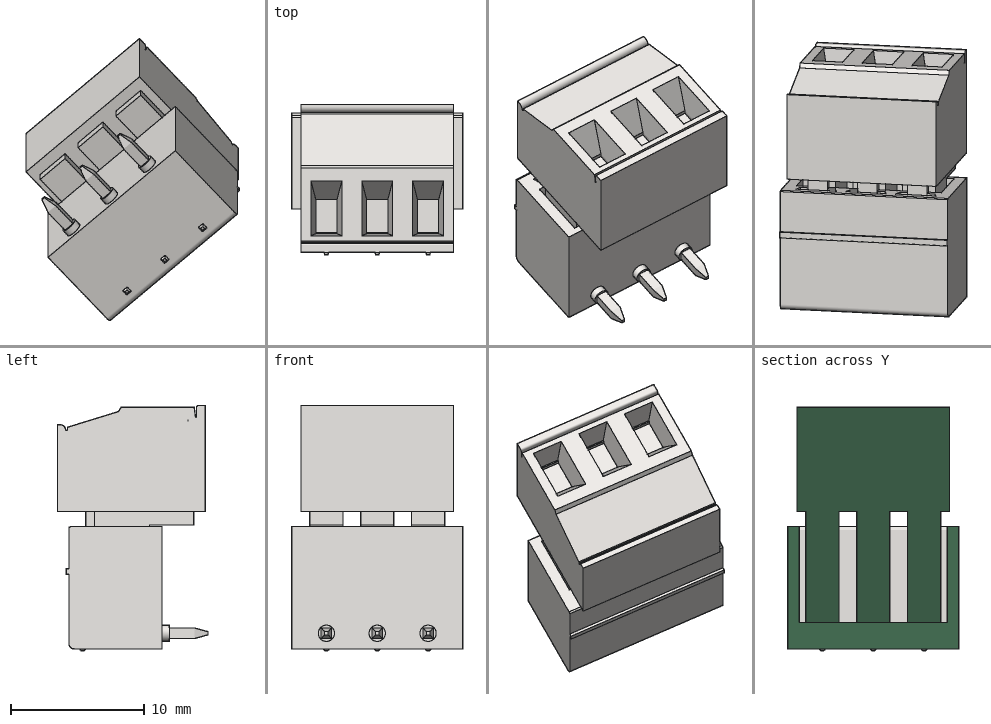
import cadquery as cq
import math


pole_count = 3
pitch = 3.81
pole_xs = [(i - (pole_count - 1) / 2) * pitch for i in range(pole_count)]

arc_middle_inset = 1 - math.sqrt(0.5)

header_width = 12.82
header_depth = 7.0
header_height = 9.18
header_corner_radius = 0.4
header_bevel_depth = 0.14
header_bevel_height = 0.07
rear_rib_proud = 0.21
rear_rib_bottom = 5.59
rear_rib_height = 0.44

cavity_width = 11.08
cavity_front = 0.5
cavity_back = 5.09
cavity_floor = 2.0
lead_in_depth = 0.08
lead_in_height = 0.27

keyway_front = 5.66
keyway_back = 6.26
keyway_front_width = 2.68
keyway_back_width = 3.08

pin_z = 1.18
pin_side = 0.8
pin_tip_side = 0.25
pin_shank_end = 2.44
pin_end = 3.43
collar_diameter = 1.22
collar_length = 0.54

peg_y = 5.97
peg_side = 0.46
peg_tip_side = 0.2
peg_height = 0.14

plug_width = pole_count * pitch
plug_front = -3.24
plug_back = 7.85
plug_bottom = 10.3
plug_top = 18.26
deck_top = 18.13
back_lip_top = 16.81

front_lip_round = 0.16
front_lip_thickness = 0.68
front_groove_width = 0.16
front_groove_floor_width = 0.06
front_groove_depth = 0.75

back_lip_land = 0.21
back_lip_radius = 0.4
back_groove_width = 0.13
roof_low_z = 16.62
roof_high_y = 3.28
roof_high_z = 17.8
deck_back = 3.08

funnel_width = 2.32
funnel_front = -2.0
funnel_back = 2.12
funnel_floor_width = 1.58
funnel_floor_front = -1.84
funnel_floor_back = 0.7
funnel_depth = 2.3
well_front = -1.74
well_depth = 0.3

tongue_width = 2.5
tongue_front = 0.95
tongue_rib_width = 1.5
tongue_rib_back = 5.75
overhang_front = -2.37
overhang_bottom = 9.29


def box(width, y_front, y_back, z_bottom, z_top, x=0):
    """Block centred on x and spanning the given Y and Z ranges."""
    return cq.Workplane("XY").box(
        width, y_back - y_front, z_top - z_bottom, centered=(True, False, False)
    ).translate((x, y_front, z_bottom))


def side_profile():
    """Sketch plane for (Y, Z) outlines that are extruded symmetrically along X."""
    return cq.Workplane("YZ")


def tongue(x):
    """Tongue with its narrow rear rib and the foot that overhangs the header's front."""
    blade = box(tongue_width, tongue_front, cavity_back, cavity_floor, plug_bottom, x)
    rib = box(tongue_rib_width, cavity_back, tongue_rib_back, cavity_floor, plug_bottom, x)
    foot = box(tongue_width, overhang_front, tongue_front, overhang_bottom, plug_bottom, x)
    return blade.union(rib).union(foot)


def funnel(x):
    """Tapered pocket sunk from the deck, ending in a shallow straight well."""
    mouth_y = (funnel_front + funnel_back) / 2
    floor_y = (funnel_floor_front + funnel_floor_back) / 2
    taper = (
        cq.Workplane("XY", origin=(x, 0, deck_top))
        .center(0, mouth_y).rect(funnel_width, funnel_back - funnel_front)
        .workplane(offset=-funnel_depth)
        .center(0, floor_y - mouth_y).rect(funnel_floor_width, funnel_floor_back - funnel_floor_front)
        .loft(combine=True)
    )
    well_top = deck_top - funnel_depth
    well = box(funnel_floor_width, well_front, funnel_floor_back, well_top - well_depth, well_top, x)
    return taper.union(well)


def keyway(x):
    """Dovetail slot behind one pole, joined to the cavity by the slot for the tongue's rib."""
    dovetail = (
        cq.Workplane("XY", origin=(x, 0, cavity_floor))
        .moveTo(-keyway_front_width / 2, keyway_front)
        .lineTo(keyway_front_width / 2, keyway_front)
        .lineTo(keyway_back_width / 2, keyway_back)
        .lineTo(-keyway_back_width / 2, keyway_back)
        .close()
        .extrude(header_height - cavity_floor)
    )
    rib_slot = box(tongue_rib_width, cavity_back, tongue_rib_back, cavity_floor, header_height, x)
    return dovetail.union(rib_slot)


def frustum(side, tip_side, height):
    """Square pyramid stump rising from the XY plane."""
    return (
        cq.Workplane("XY").rect(side, side)
        .workplane(offset=height).rect(tip_side, tip_side)
        .loft(combine=True)
    )


def solder_pin(x):
    """Round collar, square shank and tapered tip, pointing forward."""
    upright = (
        cq.Workplane("XY").circle(collar_diameter / 2).extrude(collar_length)
        .union(cq.Workplane("XY").rect(pin_side, pin_side).extrude(pin_shank_end))
        .union(frustum(pin_side, pin_tip_side, pin_end - pin_shank_end).translate((0, 0, pin_shank_end)))
    )
    return upright.rotate((0, 0, 0), (1, 0, 0), 90).translate((x, 0, pin_z))


def peg(x):
    """Tapered peg pointing down from the header's underside."""
    upright = frustum(peg_side, peg_tip_side, peg_height)
    return upright.rotate((0, 0, 0), (1, 0, 0), 180).translate((x, peg_y, 0))


def make_header():
    arc_offset = header_corner_radius * arc_middle_inset
    body = (
        side_profile()
        .moveTo(0, 0)
        .lineTo(header_depth - header_corner_radius, 0)
        .threePointArc((header_depth - arc_offset, arc_offset), (header_depth, header_corner_radius))
        .lineTo(header_depth, header_height - header_bevel_height)
        .lineTo(header_depth - header_bevel_depth, header_height)
        .lineTo(0, header_height)
        .close()
        .extrude(header_width / 2, both=True)
    )
    rear_rib = box(
        header_width, header_depth, header_depth + rear_rib_proud,
        rear_rib_bottom, rear_rib_bottom + rear_rib_height,
    )
    cavity = (
        side_profile()
        .moveTo(cavity_front, cavity_floor)
        .lineTo(cavity_back, cavity_floor)
        .lineTo(cavity_back, header_height - lead_in_height)
        .lineTo(cavity_back + lead_in_depth, header_height)
        .lineTo(cavity_front, header_height)
        .close()
        .extrude(cavity_width / 2, both=True)
    )
    body = body.union(rear_rib).cut(cavity)
    for x in pole_xs:
        body = body.cut(keyway(x)).union(solder_pin(x)).union(peg(x))
    return body


def make_plug():
    groove_front = plug_front + front_lip_thickness
    groove_back = groove_front + front_groove_width
    front_arc = front_lip_round * arc_middle_inset
    back_lip_round_start = plug_back - back_lip_land
    back_arc_end = back_lip_round_start - back_lip_radius
    back_arc = back_lip_radius * arc_middle_inset
    back_groove_front = back_arc_end - back_groove_width
    back_groove_bottom = back_lip_top - back_lip_radius
    body = (
        side_profile()
        .moveTo(plug_front, plug_bottom)
        .lineTo(plug_front, plug_top)
        .lineTo(groove_front - front_lip_round, plug_top)
        .threePointArc(
            (groove_front - front_arc, plug_top - front_arc),
            (groove_front, plug_top - front_lip_round),
        )
        .lineTo(groove_front, deck_top - front_groove_depth)
        .lineTo(groove_front + front_groove_floor_width, deck_top - front_groove_depth)
        .lineTo(groove_back, deck_top)
        .lineTo(deck_back, deck_top)
        .lineTo(roof_high_y, roof_high_z)
        .lineTo(back_groove_front, roof_low_z)
        .lineTo(back_groove_front, back_groove_bottom)
        .lineTo(back_arc_end, back_groove_bottom)
        .threePointArc(
            (back_arc_end + back_arc, back_lip_top - back_arc),
            (back_lip_round_start, back_lip_top),
        )
        .lineTo(plug_back, back_lip_top)
        .lineTo(plug_back, plug_bottom)
        .close()
        .extrude(plug_width / 2, both=True)
    )
    for x in pole_xs:
        body = body.cut(funnel(x)).union(tongue(x))
    return body


header = make_header()
plug = make_plug()
result = cq.Compound.makeCompound([header.solids().val(), plug.solids().val()])